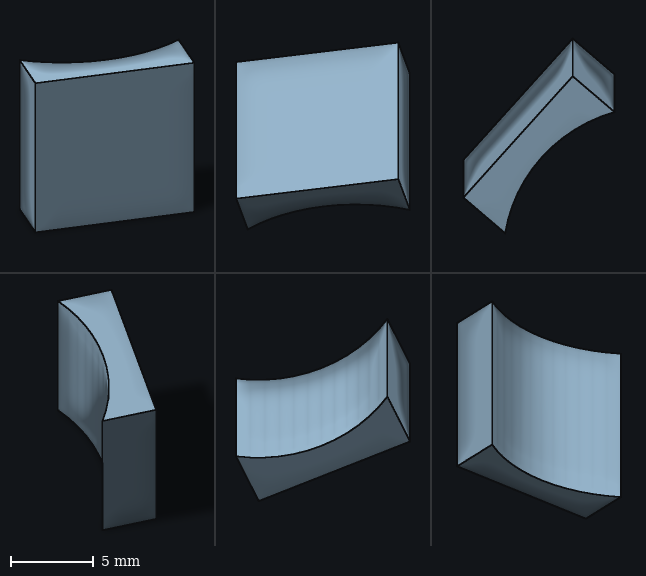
import cadquery as cq

thickness = 3.37
width = 10.0
height = 10.0
hollow_depth = 1.45

edge_x = -thickness / 2
back_x = thickness / 2

profile = (
    cq.Workplane("XY")
    .moveTo(edge_x, -width / 2)
    .lineTo(back_x, -width / 2)
    .lineTo(back_x, width / 2)
    .lineTo(edge_x, width / 2)
    .threePointArc((edge_x + hollow_depth, 0), (edge_x, -width / 2))
    .close()
)

result = profile.extrude(height / 2, both=True)